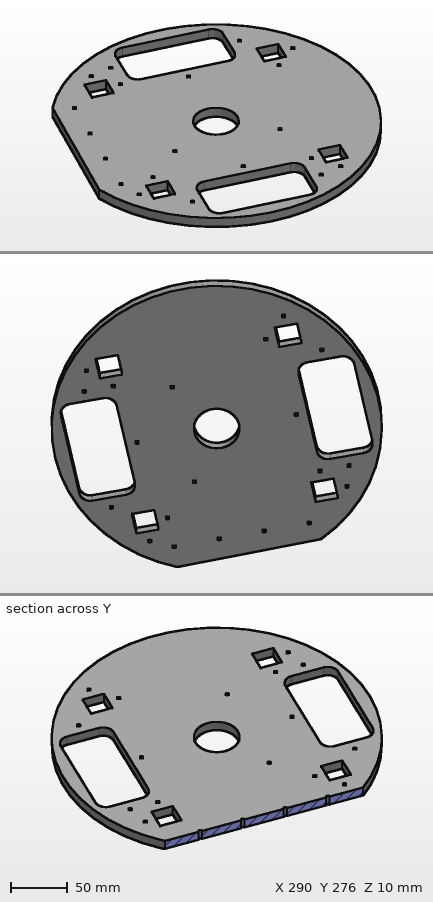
import cadquery as cq
import math

disc_radius = 145.0
thickness = 10.0
flat_left_x = -67.3
flat_right_y = -131.0

bore_diameter = 40.0
slot_width = 50.0
slot_length = 100.0
slot_corner_radius = 10.0
slot_center_x = 106.5
window_size = 20.0
window_center = 80.3

screw_diameter = 3.0
window_screw_offset = 20.0
slot_screw_y = 60.0
side_screw_x = 71.3
pair_screw_x = 30.0
pair_screw_y = 49.0
front_row_pitch = 40.3
front_row_y = -110.2
front_row_count = 4

window_screw_layout = [
    (-1, 1, [(0, 1), (1, 0)]),
    (1, 1, [(1, 0), (0, -1)]),
    (-1, -1, [(0, 1), (-1, 0)]),
    (1, -1, [(-1, 0), (0, -1)]),
]


def make_disc():
    """Disc outline: one long arc closed by the slanted flat."""
    flat_left_y = -math.sqrt(disc_radius**2 - flat_left_x**2)
    flat_right_x = math.sqrt(disc_radius**2 - flat_right_y**2)
    return (
        cq.Workplane("XY")
        .moveTo(flat_left_x, flat_left_y)
        .lineTo(flat_right_x, flat_right_y)
        .threePointArc((0, disc_radius), (flat_left_x, flat_left_y))
        .close()
        .extrude(thickness)
    )


def make_slots():
    """Rounded rectangular openings on the left and right."""
    return (
        cq.Workplane("XY")
        .pushPoints([(-slot_center_x, 0), (slot_center_x, 0)])
        .rect(slot_width, slot_length)
        .extrude(thickness)
        .edges("|Z")
        .fillet(slot_corner_radius)
    )


def make_windows():
    """Four square openings on a square pattern."""
    return (
        cq.Workplane("XY")
        .rect(2 * window_center, 2 * window_center, forConstruction=True)
        .vertices()
        .rect(window_size, window_size)
        .extrude(thickness)
    )


def screw_points():
    points = []
    for x_sign, y_sign, directions in window_screw_layout:
        for step_x, step_y in directions:
            x = x_sign * window_center + step_x * window_screw_offset
            y = y_sign * window_center + step_y * window_screw_offset
            points.append((x, y))

    for x in (-slot_center_x, slot_center_x):
        for y in (-slot_screw_y, slot_screw_y):
            points.append((x, y))

    points += [(-side_screw_x, 0), (side_screw_x, 0)]
    points += [(pair_screw_x, -pair_screw_y), (pair_screw_x, pair_screw_y)]

    for index in range(front_row_count):
        x = (index - (front_row_count - 1) / 2) * front_row_pitch
        points.append((x, front_row_y))
    return points


def make_round_holes():
    bore = cq.Workplane("XY").circle(bore_diameter / 2).extrude(thickness)
    screws = cq.Workplane("XY").pushPoints(screw_points()).circle(screw_diameter / 2).extrude(thickness)
    return bore.union(screws)


result = make_disc().cut(make_slots()).cut(make_windows()).cut(make_round_holes())